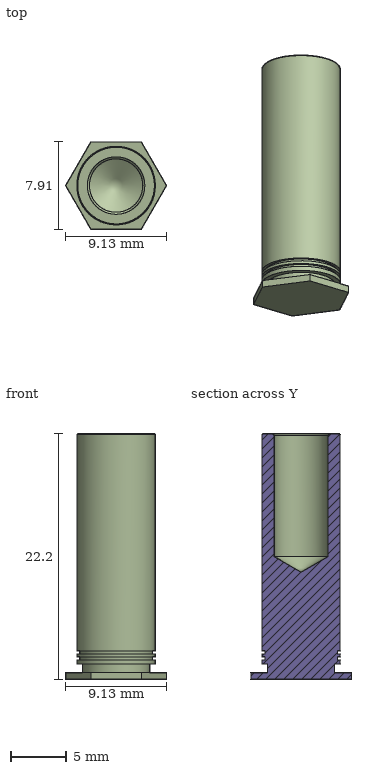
import cadquery as cq
import math

total_height = 22.23
hex_across_flats = 7.91
hex_across_corners = hex_across_flats / math.cos(math.radians(30))
hex_thickness = 0.62

body_diameter = 7.11
neck_diameter = 6.1
groove_diameter = 6.6
rim_chamfer = 0.1

neck_top = 1.38
lower_ring_top = 1.78
groove_width = 0.27
upper_ring_thickness = 0.27

bore_diameter = 4.82
bore_mouth_diameter = 5.2
bore_depth = 11.12
drill_point_angle = 120.0


def cylinder(diameter, bottom, top):
    return cq.Workplane("XY").workplane(offset=bottom).circle(diameter / 2).extrude(top - bottom)


def make_hex_head():
    return cq.Workplane("XY").polygon(6, hex_across_corners).extrude(hex_thickness)


def make_shank():
    neck = cylinder(neck_diameter, hex_thickness, neck_top)
    body = cylinder(body_diameter, neck_top, total_height)
    body = body.faces(">Z").edges().chamfer(rim_chamfer)
    return neck.union(body)


def make_groove(bottom):
    top = bottom + groove_width
    return cylinder(body_diameter, bottom, top).cut(cylinder(groove_diameter, bottom, top))


def make_bore():
    bore_radius = bore_diameter / 2
    mouth_radius = bore_mouth_diameter / 2
    floor = total_height - bore_depth
    tip = floor - bore_radius / math.tan(math.radians(drill_point_angle / 2))
    mouth_bottom = total_height - (mouth_radius - bore_radius)
    profile = [
        (0, tip),
        (bore_radius, floor),
        (bore_radius, mouth_bottom),
        (mouth_radius, total_height),
        (0, total_height),
    ]
    return cq.Workplane("XZ").polyline(profile).close().revolve(360, (0, 0), (0, 1))


result = make_hex_head().union(make_shank())

upper_groove_bottom = lower_ring_top + groove_width + upper_ring_thickness
for groove_bottom in (lower_ring_top, upper_groove_bottom):
    result = result.cut(make_groove(groove_bottom))

result = result.cut(make_bore())